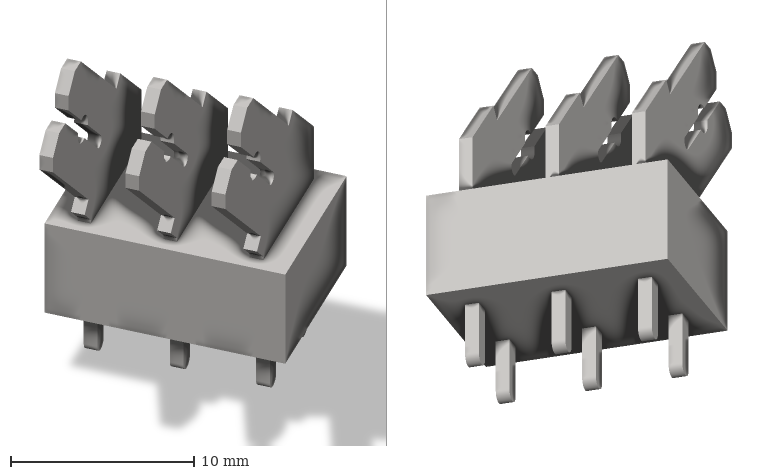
import cadquery as cq
import math

housing_length = 14.0
housing_depth = 9.8
housing_height = 6.0

terminal_count = 3
terminal_pitch = 5.0
terminal_thickness = 0.8

pin_pitch = 5.0
pin_width = 1.0
pin_exposed_length = 3.5
pin_length = housing_height + pin_exposed_length

foot_width = 8.08
bend_angle = 45
bend_height = 1.9

shoulder_width = 8.05
shoulder_end = 3.12
tab_width = 6.3
tab_end = 11.82
tip_chamfer = 0.69

slot_width = 0.73
slot_end_from_tip = 8.0
opening_diameter = 1.61
opening_from_tip = 4.3

slope_sin = math.sin(math.radians(bend_angle))
slope_cos = math.cos(math.radians(bend_angle))


def on_slope(across, along):
    """(Y, Z) of a point on the sloping part, measured from the bend point."""
    return (
        across * slope_cos - along * slope_sin,
        bend_height + across * slope_sin + along * slope_cos,
    )


def shoulder_height_at(across, y):
    """Height where the shoulder edge at this offset from the centreline reaches Y = y."""
    return bend_height + (across - y * slope_cos) / slope_sin


def extrude_plate(sketch):
    """Extrude a YZ sketch to the plate thickness, centred on X = 0."""
    return sketch.extrude(terminal_thickness / 2, both=True)


def make_plate():
    """Foot, shoulders and tab in one outline, with the tab still unsplit and square-ended."""
    half_foot = foot_width / 2
    half_shoulder = shoulder_width / 2
    half_tab = tab_width / 2
    outline = [
        (-half_foot, 0),
        (-half_foot, shoulder_height_at(-half_shoulder, -half_foot)),
        on_slope(-half_shoulder, shoulder_end),
        on_slope(-half_tab, shoulder_end),
        on_slope(-half_tab, tab_end),
        on_slope(half_tab, tab_end),
        on_slope(half_tab, shoulder_end),
        on_slope(half_shoulder, shoulder_end),
        (half_foot, shoulder_height_at(half_shoulder, half_foot)),
        (half_foot, 0),
    ]
    return extrude_plate(cq.Workplane("YZ").polyline(outline).close())


def make_slot():
    """Round-ended slot running out through the tip, plus its round opening."""
    half_slot = slot_width / 2
    slot_end = tab_end - slot_end_from_tip
    opening_along = tab_end - opening_from_tip
    slot = extrude_plate(
        cq.Workplane("YZ")
        .moveTo(*on_slope(half_slot, tab_end))
        .lineTo(*on_slope(half_slot, slot_end))
        .threePointArc(on_slope(0, slot_end - half_slot), on_slope(-half_slot, slot_end))
        .lineTo(*on_slope(-half_slot, tab_end))
        .close()
    )
    opening = extrude_plate(
        cq.Workplane("YZ").moveTo(*on_slope(0, opening_along)).circle(opening_diameter / 2)
    )
    return slot.union(opening)


def make_tip_corner(across, inward):
    """Triangle removed from a prong corner; inward is the sign that leads into the prong."""
    corner = [
        on_slope(across, tab_end),
        on_slope(across + inward * tip_chamfer, tab_end),
        on_slope(across, tab_end - tip_chamfer),
    ]
    return extrude_plate(cq.Workplane("YZ").polyline(corner).close())


def make_pin(pin_y):
    """Solder pin at the given Y, reaching from the foot down through the housing."""
    pin_radius = pin_width / 2
    straight_end = pin_radius - pin_length
    return extrude_plate(
        cq.Workplane("YZ")
        .moveTo(pin_y - pin_radius, 0)
        .lineTo(pin_y - pin_radius, straight_end)
        .threePointArc((pin_y, -pin_length), (pin_y + pin_radius, straight_end))
        .lineTo(pin_y + pin_radius, 0)
        .close()
    )


def make_terminal(x):
    """One-piece terminal centred on the given X."""
    terminal = make_plate().cut(make_slot())
    for side in (-1, 1):
        terminal = terminal.cut(make_tip_corner(side * tab_width / 2, -side))
        terminal = terminal.cut(make_tip_corner(side * slot_width / 2, side))
        terminal = terminal.union(make_pin(side * pin_pitch / 2))
    return terminal.translate((x, 0, 0)).solids()


def make_housing(terminal_places):
    """Block with a rectangular through hole for every solder pin."""
    block = cq.Workplane("XY").box(
        housing_length, housing_depth, housing_height, centered=(True, True, False)
    )
    hole_places = [(x, side * pin_pitch / 2) for x in terminal_places for side in (-1, 1)]
    holes = (
        cq.Workplane("XY")
        .pushPoints(hole_places)
        .rect(terminal_thickness, pin_width)
        .extrude(housing_height)
    )
    return block.cut(holes).translate((0, 0, -housing_height)).solids()


first_terminal_x = -terminal_pitch * (terminal_count - 1) / 2
terminal_places = [first_terminal_x + i * terminal_pitch for i in range(terminal_count)]

housing = make_housing(terminal_places)
terminals = [make_terminal(x) for x in terminal_places]

result = cq.Compound.makeCompound([housing.val(), *[terminal.val() for terminal in terminals]])